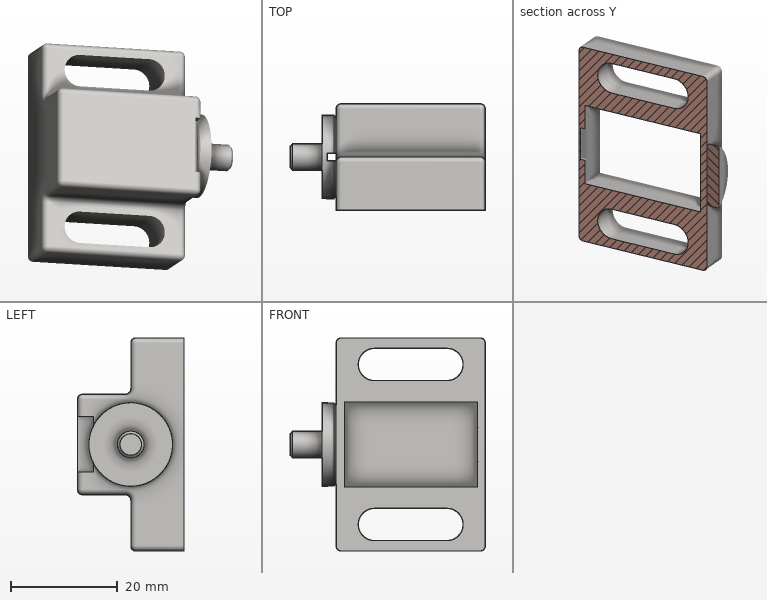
import cadquery as cq

LENGTH = 28.0
HEIGHT = 40.0
DEPTH = 20.0
FLANGE_DEPTH = DEPTH / 2
BLOCK_HEIGHT = 18.9
EDGE_RADIUS = 1.0

SLOT_LENGTH = 19.6
SLOT_WIDTH = 6.0
SLOT_SPACING = 30.0

POCKET_START = 1.55
POCKET_LENGTH = 25.0
POCKET_HEIGHT = 16.0
POCKET_DEPTH = 6.0
GROOVE_SIZE = 1.0
GROOVE_HEIGHT = 6.4

NOTCH_WIDTH = 10.4
NOTCH_DEPTH = 3.0
NOTCH_INSET = 1.2

AXIS_Y = DEPTH / 2
DISC_DIAMETER = 15.7
DISC_THICKNESS = 2.6
DISC_CHAMFER = 0.4
DISC_SLOT_WIDTH = 1.35
DISC_SLOT_DEPTH = 1.6
SHAFT_DIAMETER = 5.0
SHAFT_LENGTH = 6.0
SHAFT_CHAMFER = 0.5


def box(x_start, y_start, length, depth, height):
    """Block from the given X and Y start, centred on Z = 0."""
    return cq.Workplane("XY").box(length, depth, height, centered=(False, False, True)).translate(
        (x_start, y_start, 0)
    )


def make_shell():
    """T-shaped outer form, rounded everywhere except around the mounting face."""
    body = box(0, 0, LENGTH, FLANGE_DEPTH, HEIGHT).union(box(0, 0, LENGTH, DEPTH, BLOCK_HEIGHT))
    body = body.edges("|X and (not <Y)").fillet(EDGE_RADIUS)
    return body.faces("<X or >X").edges("not <Y").fillet(EDGE_RADIUS)


def make_mounting_slots():
    return (
        cq.Workplane("XZ")
        .pushPoints([(LENGTH / 2, -SLOT_SPACING / 2), (LENGTH / 2, SLOT_SPACING / 2)])
        .slot2D(SLOT_LENGTH, SLOT_WIDTH)
        .extrude(-FLANGE_DEPTH)
    )


def make_pocket():
    pocket = box(POCKET_START, 0, POCKET_LENGTH, POCKET_DEPTH, POCKET_HEIGHT)
    groove = box(
        POCKET_START + POCKET_LENGTH,
        POCKET_DEPTH - GROOVE_SIZE,
        GROOVE_SIZE,
        GROOVE_SIZE,
        GROOVE_HEIGHT,
    )
    return pocket.union(groove)


def make_housing():
    notch = box(0, DEPTH - NOTCH_DEPTH, NOTCH_INSET, NOTCH_DEPTH, NOTCH_WIDTH)
    return make_shell().cut(make_mounting_slots()).cut(make_pocket()).cut(notch)


def make_rotor():
    """Disc resting on the -X face of the housing, with its shaft pointing to -X."""
    axis_plane = cq.Workplane("YZ").center(AXIS_Y, 0)
    disc = axis_plane.circle(DISC_DIAMETER / 2).extrude(-DISC_THICKNESS)
    disc = disc.faces(">X").chamfer(DISC_CHAMFER)
    shaft = (
        axis_plane.workplane(offset=-DISC_THICKNESS)
        .circle(SHAFT_DIAMETER / 2)
        .extrude(-SHAFT_LENGTH)
        .faces("<X")
        .chamfer(SHAFT_CHAMFER)
    )
    slot = box(
        -DISC_SLOT_DEPTH,
        AXIS_Y - DISC_SLOT_WIDTH / 2,
        DISC_SLOT_DEPTH,
        DISC_SLOT_WIDTH,
        DISC_DIAMETER,
    )
    return disc.union(shaft).cut(slot)


housing = make_housing()
rotor = make_rotor()
result = cq.Compound.makeCompound([*housing.solids().vals(), *rotor.solids().vals()])